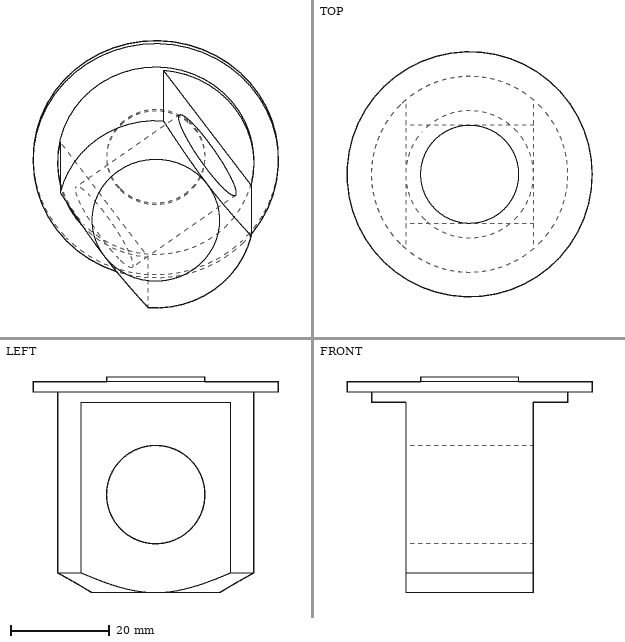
import cadquery as cq
import math

total_height = 44.0
boss_diameter = 20.0
boss_height = 1.0
flange_diameter = 50.0
flange_thickness = 2.1
collar_height = 2.1

body_diameter = 40.0
width_across_flats = 26.0
cone_angle = 30.0

hole_diameter = 20.0
hole_height = 20.0

flange_top = total_height - boss_height
flange_bottom = flange_top - flange_thickness
flat_top = flange_bottom - collar_height
body_radius = body_diameter / 2
tip_radius = width_across_flats / 2
cone_height = (body_radius - tip_radius) * math.tan(math.radians(cone_angle))


def turned_blank():
    """Boss, flange and body with its conical lower end, revolved about Z."""
    profile = [
        (0, 0),
        (tip_radius, 0),
        (body_radius, cone_height),
        (body_radius, flange_bottom),
        (flange_diameter / 2, flange_bottom),
        (flange_diameter / 2, flange_top),
        (boss_diameter / 2, flange_top),
        (boss_diameter / 2, total_height),
        (0, total_height),
    ]
    return cq.Workplane("XZ").polyline(profile).close().revolve(360, (0, 0), (0, 1))


def flat_cutter(side):
    """Block that removes the body outside one flat; side is -1 or +1 along X."""
    return (
        cq.Workplane("XY")
        .box(body_radius, body_diameter, flat_top, centered=(True, True, False))
        .translate((side * (tip_radius + body_radius / 2), 0, 0))
    )


def cross_hole():
    """Through hole along X between the two flats."""
    return (
        cq.Workplane("YZ")
        .center(0, hole_height)
        .circle(hole_diameter / 2)
        .extrude(body_radius, both=True)
    )


result = turned_blank()
for side in (-1, 1):
    result = result.cut(flat_cutter(side))
result = result.cut(cross_hole())